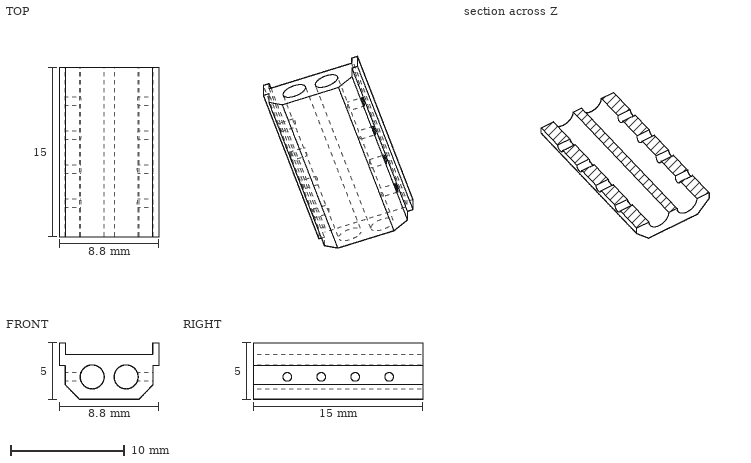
import cadquery as cq

length = 15.0
width = 8.8
height = 5.0

wall_thickness = 0.55
tray_depth = 1.0
flange_height = 2.0

body_width = 7.77
bottom_width = 5.25
bevel_height = 1.3

bore_diameter = 2.1
bore_spacing = 3.0
bore_height = 2.0
side_hole_diameter = 0.76
side_hole_spacing = 3.0
side_hole_count = 4


def make_body():
    """Extrude the cross-section along Y, centred on the origin in X and Y."""
    half_width = width / 2
    half_body = body_width / 2
    half_bottom = bottom_width / 2
    half_tray = half_width - wall_thickness
    flange_bottom = height - flange_height
    tray_floor = height - tray_depth
    right_half = [
        (half_bottom, 0),
        (half_body, bevel_height),
        (half_body, flange_bottom),
        (half_width, flange_bottom),
        (half_width, height),
        (half_tray, height),
        (half_tray, tray_floor),
    ]
    left_half = [(-x, z) for x, z in reversed(right_half)]
    profile = cq.Workplane("XZ").polyline(right_half + left_half).close()
    return profile.extrude(length / 2, both=True)


def make_bores():
    """Two parallel bores running the full length."""
    return (
        cq.Workplane("XZ", origin=(0, 0, bore_height))
        .rarray(bore_spacing, 0.15, 2, 1)
        .circle(bore_diameter / 2)
        .extrude(length / 2, both=True)
    )


def make_side_holes():
    """Cross holes from both sides, each ending at the axis of the nearer bore."""
    bore_x = bore_spacing / 2
    hole_depth = body_width / 2 - bore_x
    right_holes = (
        cq.Workplane("YZ", origin=(bore_x, 0, bore_height))
        .rarray(side_hole_spacing, 0.15, side_hole_count, 1)
        .circle(side_hole_diameter / 2)
        .extrude(hole_depth)
    )
    return right_holes.union(right_holes.mirror("YZ"))


result = make_body().cut(make_bores()).cut(make_side_holes())